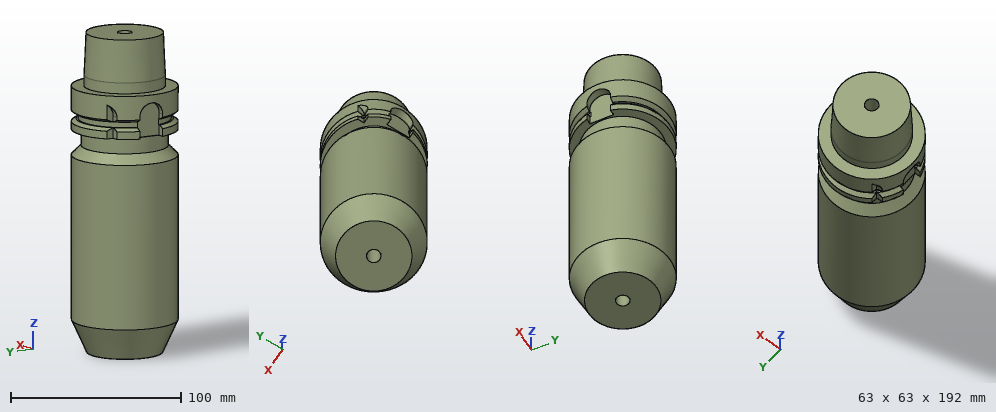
import cadquery as cq

total_height = 192.0
nose_height = 19.5
body_top = 118.5
neck_bottom = 124.2
flange_bottom = 134.0
groove_bottom = 140.4
groove_top = 143.8
groove_bevel_height = 1.7
flange_top = 160.0
taper_bottom = 166.5

body_radius = 31.5
nose_radius = 22.5
neck_radius = 25.7
groove_radius = 27.5
groove_lip_radius = 28.6
shank_radius = 24.0
shank_top_radius = 22.8
bore_diameter = 8.5

slot_width = 15.5
slot_top = 155.1
drive_slot_floor = 26.5
side_pocket_floor = 20.2
side_pocket_offset = 27.6


def turned_body():
    """Revolve the half profile around Z."""
    profile = [
        (0, 0),
        (nose_radius, 0),
        (body_radius, nose_height),
        (body_radius, body_top),
        (neck_radius, neck_bottom),
        (neck_radius, flange_bottom),
        (body_radius, flange_bottom),
        (body_radius, groove_bottom - groove_bevel_height),
        (groove_lip_radius, groove_bottom),
        (groove_radius, groove_bottom),
        (groove_radius, groove_top),
        (groove_lip_radius, groove_top),
        (body_radius, groove_top + groove_bevel_height),
        (body_radius, flange_top),
        (shank_radius, flange_top),
        (shank_radius, taper_bottom),
        (shank_top_radius, total_height),
        (0, total_height),
    ]
    return cq.Workplane("XZ").polyline(profile).close().revolve(360, (0, 0), (0, 1))


def slot_cutter(floor_distance, y_center=0):
    """Cutter with a round top, reaching from a floor facing +X out past the flange."""
    half_width = slot_width / 2
    arc_center_z = slot_top - half_width
    return (
        cq.Workplane("YZ", origin=(floor_distance, y_center, 0))
        .moveTo(-half_width, flange_bottom)
        .lineTo(-half_width, arc_center_z)
        .threePointArc((0, slot_top), (half_width, arc_center_z))
        .lineTo(half_width, flange_bottom)
        .close()
        .extrude(body_radius)
    )


result = turned_body()

drive_slot = slot_cutter(drive_slot_floor)
for slot in (drive_slot, drive_slot.mirror("YZ")):
    result = result.cut(slot)

side_pocket = slot_cutter(side_pocket_floor, side_pocket_offset).mirror("YZ")
result = result.cut(side_pocket)

bore = cq.Workplane("XY").circle(bore_diameter / 2).extrude(total_height)
result = result.cut(bore)